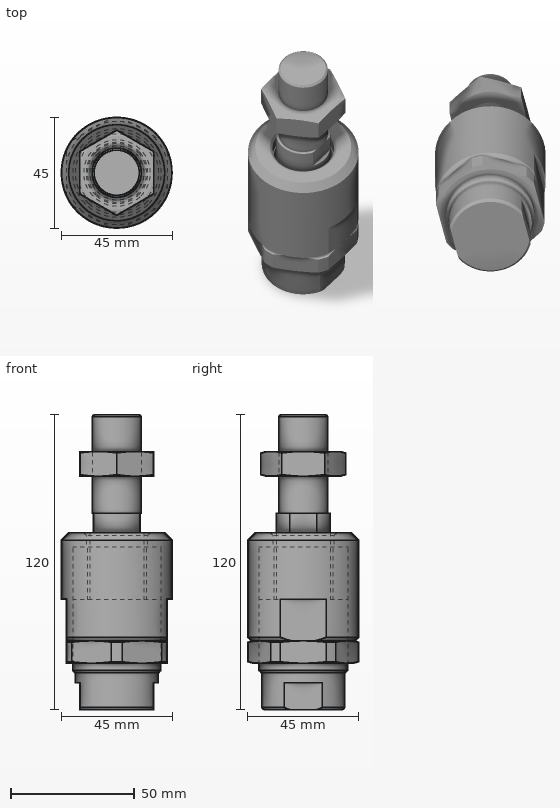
import cadquery as cq
import math


STUD_TOP = 120.0
STUD_DIAMETER = 20.0
STUD_CHAMFER = 0.81
NECK_DIAMETER = 22.0
NECK_TOP = 80.0
NECK_ACROSS_FLATS = 19.0
NECK_FLAT_HEIGHT = 8.0

STUD_NUT_BOTTOM = 95.0
STUD_NUT_HEIGHT = 10.0
STUD_NUT_ACROSS_FLATS = 30.0

HOUSING_BOTTOM = 28.0
HOUSING_TOP = 72.0
HOUSING_DIAMETER = 45.0
HOUSING_TOP_CHAMFER = 3.0
HOUSING_BOTTOM_CHAMFER = 1.5
HOUSING_ACROSS_FLATS = 41.0
HOUSING_FLAT_HEIGHT = 17.0
MOUTH_DIAMETER = 25.0
MOUTH_CHAMFER = 1.0
LIP_BOTTOM = 66.2

GUIDE_RING_BORE = 24.0

SOCKET_NUT_HEIGHT = 9.0
SOCKET_NUT_ACROSS_FLATS = HOUSING_ACROSS_FLATS

SOCKET_THREAD_DIAMETER = 36.0
SOCKET_THREAD_BOTTOM = 15.0
SOCKET_TOP = 45.0
SOCKET_FOOT_DIAMETER = 33.8
SOCKET_FOOT_CHAMFER = 1.0
SOCKET_ACROSS_FLATS = 30.0
SOCKET_FLAT_HEIGHT = 11.0

NUT_CHAMFER_ANGLE = 15.0


def cylinder(diameter, bottom, top):
    return cq.Workplane("XY").workplane(offset=bottom).circle(diameter / 2).extrude(top - bottom)


def cut_flats(body, across_flats, bottom, top):
    """Mill two opposite flats, facing -X and +X, between two heights."""
    width = 2 * HOUSING_DIAMETER
    kept = cq.Workplane("XY").workplane(offset=bottom).rect(across_flats, width).extrude(top - bottom)
    slab = cq.Workplane("XY").workplane(offset=bottom).rect(width, width).extrude(top - bottom)
    return body.cut(slab.cut(kept))


def across_corners(across_flats):
    """Corner-to-corner width of a regular hexagon."""
    return across_flats / math.cos(math.pi / 6)


def make_nut(across_flats, bore, bottom, height, corner_diameter):
    """Hexagon nut with flats facing -X and +X and conical chamfers on both faces."""
    hexagon = (
        cq.Workplane("XY")
        .workplane(offset=bottom)
        .transformed(rotate=(0, 0, 90))
        .polygon(6, across_corners(across_flats))
        .extrude(height)
    )
    face_radius = across_flats / 2
    corner_radius = corner_diameter / 2
    drop = (corner_radius - face_radius) * math.tan(math.radians(NUT_CHAMFER_ANGLE))
    top = bottom + height
    envelope = (
        cq.Workplane("XZ")
        .moveTo(0, bottom)
        .lineTo(face_radius, bottom)
        .lineTo(corner_radius, bottom + drop)
        .lineTo(corner_radius, top - drop)
        .lineTo(face_radius, top)
        .lineTo(0, top)
        .close()
        .revolve(360, (0, 0, 0), (0, 1, 0))
    )
    return hexagon.intersect(envelope).cut(cylinder(bore, bottom, top))


def make_stud():
    thread = cylinder(STUD_DIAMETER, NECK_TOP, STUD_TOP).faces(">Z").chamfer(STUD_CHAMFER)
    neck = cylinder(NECK_DIAMETER, SOCKET_TOP, NECK_TOP)
    neck = cut_flats(neck, NECK_ACROSS_FLATS, NECK_TOP - NECK_FLAT_HEIGHT, NECK_TOP)
    return neck.union(thread)


def make_housing():
    housing = cylinder(HOUSING_DIAMETER, HOUSING_BOTTOM, HOUSING_TOP)
    housing = housing.faces(">Z").chamfer(HOUSING_TOP_CHAMFER)
    housing = housing.faces("<Z").chamfer(HOUSING_BOTTOM_CHAMFER)
    flat_top = HOUSING_BOTTOM + HOUSING_FLAT_HEIGHT
    housing = cut_flats(housing, HOUSING_ACROSS_FLATS, HOUSING_BOTTOM, flat_top)
    mouth = cylinder(MOUTH_DIAMETER, LIP_BOTTOM, HOUSING_TOP)
    cavity = cylinder(SOCKET_THREAD_DIAMETER, HOUSING_BOTTOM, LIP_BOTTOM)
    housing = housing.cut(mouth).cut(cavity)
    mouth_edge = housing.faces(">Z").edges(cq.selectors.RadiusNthSelector(0))
    return mouth_edge.chamfer(MOUTH_CHAMFER)


def make_guide_ring():
    """Ring between the housing lip and the socket, with clearance around the neck."""
    ring = cylinder(SOCKET_THREAD_DIAMETER, SOCKET_TOP, LIP_BOTTOM)
    return ring.cut(cylinder(GUIDE_RING_BORE, SOCKET_TOP, LIP_BOTTOM))


def make_socket():
    thread = cylinder(SOCKET_THREAD_DIAMETER, SOCKET_THREAD_BOTTOM, SOCKET_TOP)
    step = (SOCKET_THREAD_DIAMETER - SOCKET_FOOT_DIAMETER) / 2
    thread = thread.faces("<Z").chamfer(step)
    foot = cylinder(SOCKET_FOOT_DIAMETER, 0, SOCKET_THREAD_BOTTOM).faces("<Z").chamfer(SOCKET_FOOT_CHAMFER)
    foot = cut_flats(foot, SOCKET_ACROSS_FLATS, 0, SOCKET_FLAT_HEIGHT)
    return thread.union(foot)


stud = make_stud()
housing = make_housing()
guide_ring = make_guide_ring()
socket = make_socket()
stud_nut = make_nut(
    STUD_NUT_ACROSS_FLATS,
    STUD_DIAMETER,
    STUD_NUT_BOTTOM,
    STUD_NUT_HEIGHT,
    across_corners(STUD_NUT_ACROSS_FLATS),
)
socket_nut = make_nut(
    SOCKET_NUT_ACROSS_FLATS,
    SOCKET_THREAD_DIAMETER,
    HOUSING_BOTTOM - SOCKET_NUT_HEIGHT,
    SOCKET_NUT_HEIGHT,
    HOUSING_DIAMETER,
)

result = cq.Compound.makeCompound(
    [
        stud.val(),
        stud_nut.val(),
        housing.val(),
        guide_ring.val(),
        socket_nut.val(),
        socket.val(),
    ]
)